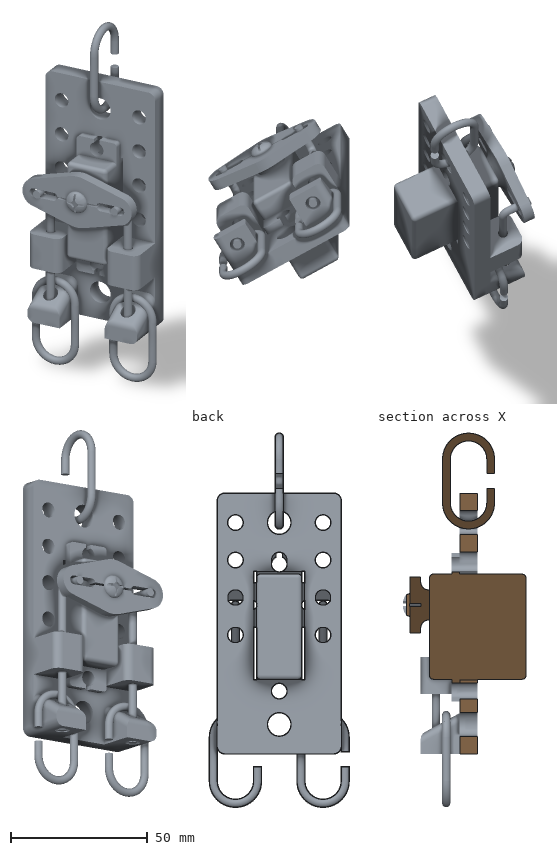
import cadquery as cq
import math


plate_width = 45.5
plate_height = 95.5
plate_thickness = 6.6
edge_radius = 2.9
eyelet_diameter = 8.5
eyelet_inset = 10.8
small_hole_diameter = 5.6
side_hole_pitch = 13.7
side_hole_rows = 4
window_width = 18.6
window_bottom_z = 27.3
window_top_z = 66.9

block_width = (plate_width - window_width) / 2
block_x = (window_width + block_width) / 2
block_depth = 14.1
guide_bottom_z = 21.8
guide_height = 13.7
guide_bore_diameter = 3.5
anchor_rear_height = 14.8
anchor_front_height = 7.1
anchor_bore_diameter = 5.5

servo_width = 16.6
servo_bottom_z = window_bottom_z
servo_height = 38.7
servo_back_y = 24.4
servo_front_y = -11.1
servo_edge_radius = 1.5
flange_top_z = 73.5
flange_bottom_z = 19.0
flange_thickness = 2.9
flange_corner_radius = 1.4
flange_hole_inset = 4.0
flange_slit_width = 2.3
mount_slot_rise = 1.5

horn_z = 54.5
horn_back_y = -block_depth
horn_thickness = 4.1
horn_centre_radius = 10.3
horn_tip_radius = 5.6
horn_tip_x = 17.0
horn_slot_inner_x = 8.1
horn_slot_outer_x = 19.6
horn_slot_width = 3.3
horn_slit_width = 0.8
hub_radius = 5.6
hub_flare_radius = 2.7

screw_radius = 4.2
screw_head_height = 2.5
screw_slit_width = 0.8
screw_recess_depth = 1.2
screw_recess_half_diagonal = 1.8

wire_diameter = 3.0
rod_y = -8.5
rod_bend_radius = 2.5
rod_front_y = -19.5
hook_outer_radius = 9.6
hook_straight = 16.0
hook_gap = hook_straight / 3
hook_height = hook_straight + 2 * hook_outer_radius
lower_hook_y = -4.8
lower_hook_z = -1.9
upper_hook_y = plate_thickness / 2
overall_height = 137.1
upper_hook_z = lower_hook_z + overall_height - hook_height

flange_hole_z = (flange_bottom_z + flange_hole_inset, flange_top_z - flange_hole_inset)
horn_front_y = horn_back_y - horn_thickness
side_signs = (-1, 1)


def box(x_range, y_range, z_range):
    """Box given by its lower and upper limit along each axis."""
    size = [high - low for low, high in (x_range, y_range, z_range)]
    return (
        cq.Workplane("XY")
        .box(*size, centered=False)
        .translate((x_range[0], y_range[0], z_range[0]))
    )


def cylinder_y(x, z, diameter, y_front, y_back):
    """Cylinder along Y from y_front to y_back."""
    return (
        cq.Workplane("XZ", origin=(x, y_back, z))
        .circle(diameter / 2)
        .extrude(y_back - y_front)
    )


def cylinder_z(x, y, diameter, z_bottom, height):
    """Upright cylinder standing on z_bottom."""
    return cq.Workplane("XY", origin=(x, y, z_bottom)).circle(diameter / 2).extrude(height)


def plate_outline(y_front, y_back):
    """Rounded plate outline extruded from y_front to y_back."""
    half_width = plate_width / 2
    return (
        box((-half_width, half_width), (y_front, y_back), (0, plate_height))
        .edges("|Y")
        .fillet(edge_radius)
    )


def guide_block(x):
    """Block with rounded front edges and an upright bore for a rod."""
    block = box(
        (x - block_width / 2, x + block_width / 2),
        (-block_depth, 0),
        (guide_bottom_z, guide_bottom_z + guide_height),
    )
    block = block.faces("<Y").edges("|Z").fillet(edge_radius)
    return block.cut(cylinder_z(x, rod_y, guide_bore_diameter, guide_bottom_z, guide_height))


def anchor_block(x):
    """Block with a sloping, rounded top and an upright bore, trimmed to the plate outline."""
    profile = [(0, 0), (-block_depth, 0), (-block_depth, anchor_front_height), (0, anchor_rear_height)]
    block = (
        cq.Workplane("YZ", origin=(x - block_width / 2, 0, 0))
        .polyline(profile)
        .close()
        .extrude(block_width)
    )
    block = block.faces(">Z").edges("not >Y").fillet(edge_radius)
    block = block.intersect(plate_outline(-block_depth, 0))
    return block.cut(cylinder_z(x, rod_y, anchor_bore_diameter, 0, anchor_rear_height))


def make_plate():
    plate = plate_outline(0, plate_thickness)
    plate = plate.cut(
        box(
            (-window_width / 2, window_width / 2),
            (0, plate_thickness),
            (window_bottom_z, window_top_z),
        )
    )
    for z in (eyelet_inset, plate_height - eyelet_inset):
        plate = plate.cut(cylinder_y(0, z, eyelet_diameter, 0, plate_thickness))
    lower_z, upper_z = flange_hole_z
    for z in (lower_z, upper_z, upper_z + mount_slot_rise):
        plate = plate.cut(cylinder_y(0, z, small_hole_diameter, 0, plate_thickness))
    half_hole = small_hole_diameter / 2
    plate = plate.cut(
        box((-half_hole, half_hole), (0, plate_thickness), (upper_z, upper_z + mount_slot_rise))
    )
    for sign in side_signs:
        x = sign * block_x
        for row in range(side_hole_rows):
            z = plate_height - eyelet_inset - row * side_hole_pitch
            plate = plate.cut(cylinder_y(x, z, small_hole_diameter, 0, plate_thickness))
        plate = plate.union(guide_block(x)).union(anchor_block(x))
    return plate


def make_servo():
    half_width = servo_width / 2
    case = box(
        (-half_width, half_width),
        (servo_front_y, servo_back_y),
        (servo_bottom_z, servo_bottom_z + servo_height),
    )
    case = case.edges().fillet(servo_edge_radius)
    flange = box(
        (-half_width, half_width), (-flange_thickness, 0), (flange_bottom_z, flange_top_z)
    )
    flange = flange.edges("|Y").fillet(flange_corner_radius)
    half_slit = flange_slit_width / 2
    for hole_z, end_z in zip(flange_hole_z, (flange_bottom_z, flange_top_z)):
        flange = flange.cut(cylinder_y(0, hole_z, small_hole_diameter, -flange_thickness, 0))
        slit_range = (min(hole_z, end_z), max(hole_z, end_z))
        flange = flange.cut(box((-half_slit, half_slit), (-flange_thickness, 0), slit_range))
    return case.union(flange)


def horn_outline():
    """Disc and two tip discs joined by their common tangents, on the XZ plane."""
    tangent = math.asin((horn_centre_radius - horn_tip_radius) / horn_tip_x)
    rise = math.cos(tangent)
    run = math.sin(tangent)
    centre_x = horn_centre_radius * run
    centre_z = horn_centre_radius * rise
    tip_x = horn_tip_x + horn_tip_radius * run
    tip_z = horn_tip_radius * rise
    end_x = horn_tip_x + horn_tip_radius
    return (
        cq.Workplane("XZ", origin=(0, horn_back_y, horn_z))
        .moveTo(-centre_x, centre_z)
        .threePointArc((0, horn_centre_radius), (centre_x, centre_z))
        .lineTo(tip_x, tip_z)
        .threePointArc((end_x, 0), (tip_x, -tip_z))
        .lineTo(centre_x, -centre_z)
        .threePointArc((0, -horn_centre_radius), (-centre_x, -centre_z))
        .lineTo(-tip_x, -tip_z)
        .threePointArc((-end_x, 0), (-tip_x, tip_z))
        .close()
    )


def horn_hub():
    """Hub between servo and horn, flaring into the back of the horn."""
    flare_start_y = horn_back_y + hub_flare_radius
    flare_end_radius = hub_radius + hub_flare_radius
    arc_offset = hub_flare_radius * (1 - math.sqrt(0.5))
    return (
        cq.Workplane("XY")
        .moveTo(0, servo_front_y)
        .lineTo(hub_radius, servo_front_y)
        .lineTo(hub_radius, flare_start_y)
        .threePointArc((hub_radius + arc_offset, horn_back_y + arc_offset), (flare_end_radius, horn_back_y))
        .lineTo(0, horn_back_y)
        .close()
        .revolve(360, (0, 0, 0), (0, 1, 0))
        .translate((0, 0, horn_z))
    )


def make_horn():
    horn = horn_outline().extrude(horn_thickness)
    y_range = (horn_front_y, horn_back_y)
    slot_length = horn_slot_outer_x - horn_slot_inner_x
    slot_x = (horn_slot_outer_x + horn_slot_inner_x) / 2
    for sign in side_signs:
        slot = (
            cq.Workplane("XZ", origin=(sign * slot_x, horn_back_y, horn_z))
            .slot2D(slot_length, horn_slot_width)
            .extrude(horn_thickness)
        )
        horn = horn.cut(slot)
    half_slit = horn_slit_width / 2
    slit_z = (horn_z - half_slit, horn_z + half_slit)
    horn = horn.cut(box((-slot_x, slot_x), y_range, slit_z))
    return horn.union(horn_hub())


def make_screw():
    """Domed screw head with a cross slit and a small square recess in its centre."""
    tip_y = horn_front_y - screw_head_height
    head = (
        cq.Workplane("XY", origin=(0, horn_front_y, 0))
        .moveTo(0, 0)
        .lineTo(0, -screw_head_height)
        .ellipseArc(screw_radius, screw_head_height, 270, 360, startAtCurrent=True)
        .close()
        .revolve(360, (0, 0, 0), (0, 1, 0))
        .translate((0, 0, horn_z))
    )
    floor = cq.Workplane("XZ", origin=(0, tip_y + screw_recess_depth, horn_z))
    level_slit = floor.rect(2 * screw_radius, screw_slit_width).extrude(screw_recess_depth)
    upright_slit = floor.rect(screw_slit_width, 2 * screw_radius).extrude(screw_recess_depth)
    square = floor.polygon(4, 2 * screw_recess_half_diagonal).extrude(screw_recess_depth)
    return head.cut(level_slit).cut(upright_slit).cut(square)


def make_rod(x):
    """Upright rod whose upper end bends forward through a horn slot."""
    bend_centre_y = rod_y - rod_bend_radius
    bend_centre_z = horn_z - rod_bend_radius
    arc_reach = rod_bend_radius * math.sqrt(0.5)
    path = (
        cq.Workplane("YZ", origin=(x, 0, 0))
        .moveTo(rod_y, 0)
        .lineTo(rod_y, bend_centre_z)
        .threePointArc(
            (bend_centre_y + arc_reach, bend_centre_z + arc_reach), (bend_centre_y, horn_z)
        )
        .lineTo(rod_front_y, horn_z)
    )
    return cq.Workplane("XY", origin=(x, rod_y, 0)).circle(wire_diameter / 2).sweep(path)


def make_hook():
    """Long wire loop about the origin in the XZ plane, with a gap in its -X leg."""
    radius = hook_outer_radius - wire_diameter / 2
    half_straight = hook_straight / 2
    half_gap = hook_gap / 2
    path = (
        cq.Workplane("XZ")
        .moveTo(-radius, half_gap)
        .lineTo(-radius, half_straight)
        .threePointArc((0, half_straight + radius), (radius, half_straight))
        .lineTo(radius, -half_straight)
        .threePointArc((0, -half_straight - radius), (-radius, -half_straight))
        .lineTo(-radius, -half_gap)
    )
    return cq.Workplane("XY", origin=(-radius, 0, half_gap)).circle(wire_diameter / 2).sweep(path)


lower_hooks = [
    make_hook().translate((sign * block_x, lower_hook_y, lower_hook_z)) for sign in side_signs
]
upper_hook = (
    make_hook()
    .rotate((0, 0, 0), (0, 0, 1), -90)
    .translate((0, upper_hook_y, upper_hook_z))
)
rods = [make_rod(sign * block_x) for sign in side_signs]
servo = make_servo()
horn = make_horn()
screw = make_screw()

plate = make_plate()
for hook in lower_hooks:
    plate = plate.cut(hook)

result = cq.Compound.makeCompound(
    [
        plate.val(),
        servo.val(),
        horn.val(),
        screw.val(),
        *[rod.val() for rod in rods],
        *[hook.val() for hook in lower_hooks],
        upper_hook.val(),
    ]
)